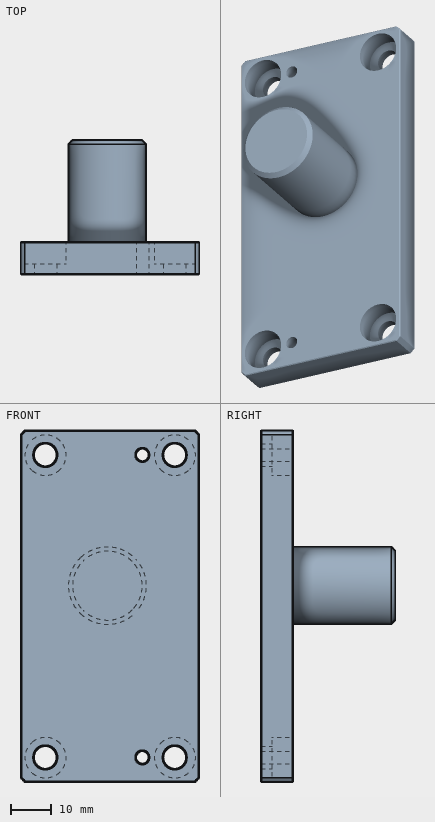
import cadquery as cq

plate_width = 43.8
plate_height = 86.2
plate_thickness = 8.0
corner_chamfer = 1.0
edge_chamfer = 0.215

total_depth = 33.0
boss_diameter = 19.05
boss_chamfer = 1.0
boss_x = -0.7
boss_z = 5.1

row_z = 37.1
mounting_hole_x = 15.9
mounting_hole_diameter = 5.5
counterbore_diameter = 10.0
counterbore_depth = 5.35
small_hole_x = 7.9
small_hole_diameter = 3.0
hole_chamfer = 0.3


def make_plate():
    """Slab with four chamfered corners and bevelled front and back rims."""
    plate = cq.Workplane("XY").box(
        plate_width, plate_thickness, plate_height, centered=(True, False, True)
    )
    plate = plate.edges("|Y").chamfer(corner_chamfer)
    return plate.faces("<Y or >Y").edges().chamfer(edge_chamfer)


def make_boss():
    """Cylinder running back from the plate, chamfered at its free end."""
    boss = (
        cq.Workplane("XZ", origin=(boss_x, plate_thickness, boss_z))
        .circle(boss_diameter / 2)
        .extrude(plate_thickness - total_depth)
    )
    return boss.faces(">Y").chamfer(boss_chamfer)


def make_hole_cutter(x, z, diameter):
    """Through-hole tool with a conical lead-in at the front face."""
    radius = diameter / 2
    profile = [
        (0, 0),
        (radius + hole_chamfer, 0),
        (radius, hole_chamfer),
        (radius, plate_thickness),
        (0, plate_thickness),
    ]
    cutter = cq.Workplane("XY").polyline(profile).close().revolve(360, (0, 0), (0, 1))
    return cutter.translate((x, 0, z))


def make_counterbore_cutter(x, z):
    """Cylindrical pocket in the back face for a screw head."""
    return (
        cq.Workplane("XZ", origin=(x, plate_thickness, z))
        .circle(counterbore_diameter / 2)
        .extrude(counterbore_depth)
    )


result = make_plate().union(make_boss())
for z in (-row_z, row_z):
    for x in (-mounting_hole_x, mounting_hole_x):
        result = result.cut(make_hole_cutter(x, z, mounting_hole_diameter))
        result = result.cut(make_counterbore_cutter(x, z))
    result = result.cut(make_hole_cutter(small_hole_x, z, small_hole_diameter))